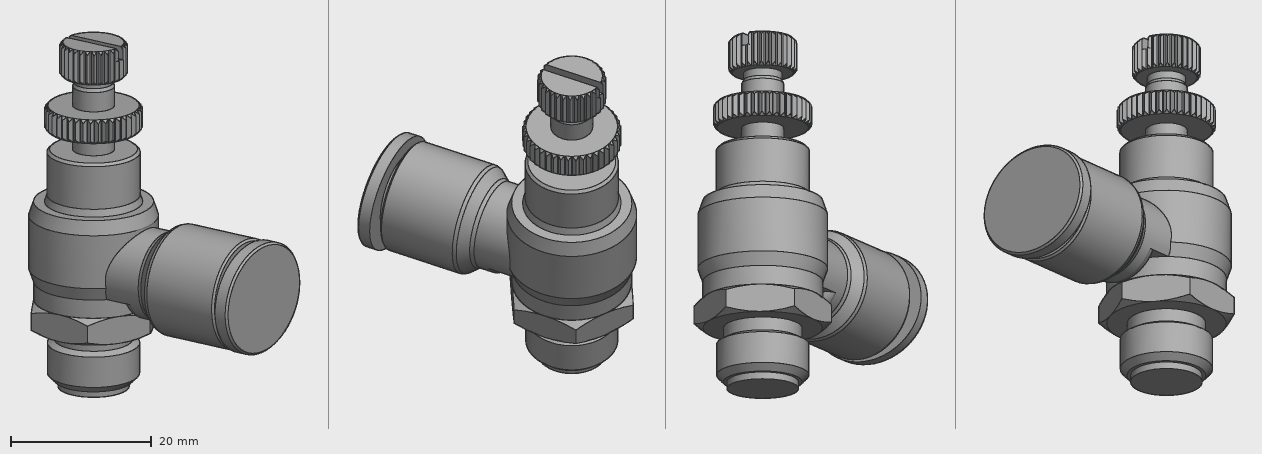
import cadquery as cq
import math


tip_radius = 5.1
tip_height = 1.0
thread_radius = 6.58
thread_lead_radius = 5.6
thread_lead_top = 2.0
thread_top = 6.55
undercut_radius = 5.6
undercut_start = 7.1

hex_across_flats = 17.0
hex_bottom = 9.0
hex_top = 13.05
hex_chamfer_angle = 30.0

ring_radius = 8.55
body_radius = 9.25
body_bottom = 15.8
body_lower_cone_top = 17.75
body_upper_cone_bottom = 25.7
body_top = 27.75

sleeve_radius = 6.65
sleeve_skirt_radius = 7.0
sleeve_skirt_top = 28.8
sleeve_top = 35.6
sleeve_chamfer = 0.4

stem_radius = 3.0
stem_chamfer_bottom = 45.1
stem_chamfer_top = 45.6
stem_neck_radius = 2.75

nut_bottom = 38.6
nut_height = 3.6
nut_tip_radius = 7.0
nut_root_radius = 6.5
nut_teeth = 40
nut_land_fraction = 0.1

total_height = 51.7
knob_height = 5.0
knob_tip_radius = 4.85
knob_root_radius = 4.35
knob_teeth = 30
knob_land_fraction = 0.25
slot_width = 1.15
slot_depth = 1.9

port_axis_z = 18.85
port_neck_radius = 6.5
port_neck_end_x = 8.9
port_neck_round = 1.4
port_flare_start_x = 12.3
port_flare_cone_start = (12.9, 6.7)
port_flare_cone_end = (14.4, 7.95)
port_radius = 8.14
port_shell_start_x = 14.95
port_shell_end_x = 26.5
port_shell_chamfer = 0.3
release_sleeve_radius = 5.87
collar_start_x = 27.55
collar_end_x = 29.6
collar_half_width = 9.2
collar_half_height = 8.1
collar_chamfer = 0.3


def turned(profile):
    """Solid of revolution about Z from (radius, z) points, closed along the axis."""
    points = [(0, profile[0][1])] + profile + [(0, profile[-1][1])]
    return cq.Workplane("XZ").polyline(points).close().revolve(360, (0, 0), (0, 1))


def threaded_end():
    """Tip, thread with lead-in cone, and undercut above the thread."""
    return turned([
        (tip_radius, 0),
        (tip_radius, tip_height),
        (thread_lead_radius, tip_height),
        (thread_radius, thread_lead_top),
        (thread_radius, thread_top),
        (undercut_radius, undercut_start),
        (undercut_radius, hex_bottom),
    ])


def hexagon():
    """Hexagon with corners on X, chamfered at 30 degrees on both faces."""
    face_radius = hex_across_flats / 2
    corner_radius = face_radius / math.cos(math.radians(30))
    chamfer_rise = (corner_radius - face_radius) * math.tan(math.radians(hex_chamfer_angle))
    prism = (
        cq.Workplane("XY")
        .workplane(offset=hex_bottom)
        .polygon(6, 2 * corner_radius)
        .extrude(hex_top - hex_bottom)
    )
    envelope = turned([
        (face_radius, hex_bottom),
        (corner_radius, hex_bottom + chamfer_rise),
        (corner_radius, hex_top - chamfer_rise),
        (face_radius, hex_top),
    ])
    return prism.intersect(envelope)


def valve_body():
    """Ring, body with conical shoulders, sleeve and stem."""
    return turned([
        (ring_radius, hex_top),
        (ring_radius, body_bottom),
        (body_radius, body_lower_cone_top),
        (body_radius, body_upper_cone_bottom),
        (ring_radius, body_top),
        (sleeve_skirt_radius, body_top),
        (sleeve_radius, sleeve_skirt_top),
        (sleeve_radius, sleeve_top - sleeve_chamfer),
        (sleeve_radius - sleeve_chamfer, sleeve_top),
        (stem_radius, sleeve_top),
        (stem_radius, stem_chamfer_bottom),
        (stem_neck_radius, stem_chamfer_top),
        (stem_neck_radius, total_height - knob_height),
    ])


def knurled_disc(bottom, height, tip_radius, root_radius, teeth, land_fraction, first_angle):
    """Disc with straight pointed teeth, bevelled down to the tooth roots at both ends.

    land_fraction is the part of each pitch left as a flat land between two teeth.
    """
    pitch = 2 * math.pi / teeth
    half_tooth = pitch * (1 - land_fraction) / 2
    outline = []
    for i in range(teeth):
        tip_angle = first_angle + i * pitch
        corners = (
            (root_radius, tip_angle - half_tooth),
            (tip_radius, tip_angle),
            (root_radius, tip_angle + half_tooth),
        )
        for radius, angle in corners:
            outline.append((radius * math.cos(angle), radius * math.sin(angle)))
    blank = cq.Workplane("XY").workplane(offset=bottom).polyline(outline).close().extrude(height)
    bevel = tip_radius - root_radius
    envelope = turned([
        (root_radius, bottom),
        (tip_radius, bottom + bevel),
        (tip_radius, bottom + height - bevel),
        (root_radius, bottom + height),
    ])
    return blank.intersect(envelope)


def lock_nut():
    """Lock nut with a tooth gap on the Y axis."""
    half_pitch = math.pi / nut_teeth
    first_angle = math.pi / 2 + half_pitch
    return knurled_disc(
        nut_bottom, nut_height, nut_tip_radius, nut_root_radius, nut_teeth, nut_land_fraction, first_angle
    )


def knob():
    """Knob with a tooth on the Y axis and a screwdriver slot along X."""
    bottom = total_height - knob_height
    first_angle = math.pi / 2
    head = knurled_disc(
        bottom, knob_height, knob_tip_radius, knob_root_radius, knob_teeth, knob_land_fraction, first_angle
    )
    slot = (
        cq.Workplane("XY")
        .workplane(offset=total_height - slot_depth)
        .rect(3 * knob_tip_radius, slot_width)
        .extrude(slot_depth)
    )
    return head.cut(slot)


def port_workplane(x):
    """Plane square to the port axis at the given X: local x is Y, local y is Z."""
    return cq.Workplane("YZ", origin=(x, 0, port_axis_z))


def port_neck_above_ring():
    """Neck running into the valve body, kept only above the underside of the body."""
    neck = port_workplane(0).circle(port_neck_radius).extrude(port_flare_start_x)
    neck_underside = port_axis_z - port_neck_radius
    clearance = (
        cq.Workplane("XY")
        .workplane(offset=neck_underside)
        .rect(3 * port_flare_start_x, 3 * port_neck_radius)
        .extrude(body_bottom - neck_underside)
    )
    return neck.cut(clearance)


def port_shell():
    """Neck with rounded end, flare, shell and release sleeve, revolved about the port axis."""
    round_offset = port_neck_round * (1 - math.sqrt(0.5))
    profile = (
        cq.Workplane("XZ", origin=(0, 0, port_axis_z))
        .moveTo(port_neck_end_x, 0)
        .lineTo(port_neck_end_x, port_neck_radius - port_neck_round)
        .threePointArc(
            (port_neck_end_x + round_offset, port_neck_radius - round_offset),
            (port_neck_end_x + port_neck_round, port_neck_radius),
        )
        .lineTo(port_flare_start_x, port_neck_radius)
        .lineTo(*port_flare_cone_start)
        .lineTo(*port_flare_cone_end)
        .lineTo(port_shell_start_x, port_radius)
        .lineTo(port_shell_end_x - port_shell_chamfer, port_radius)
        .lineTo(port_shell_end_x, port_radius - port_shell_chamfer)
        .lineTo(port_shell_end_x, release_sleeve_radius)
        .lineTo(collar_start_x, release_sleeve_radius)
        .lineTo(collar_start_x, 0)
        .close()
    )
    return profile.revolve(360, (0, 0), (1, 0))


def release_collar():
    """Oval push collar at the mouth of the port, bevelled on its outer face."""
    return (
        port_workplane(collar_start_x)
        .ellipse(collar_half_width, collar_half_height)
        .extrude(collar_end_x - collar_start_x)
        .faces(">X")
        .edges()
        .chamfer(collar_chamfer)
    )


result = (
    threaded_end()
    .union(hexagon())
    .union(valve_body())
    .union(lock_nut())
    .union(knob())
    .union(port_neck_above_ring())
    .union(port_shell())
    .union(release_collar())
)